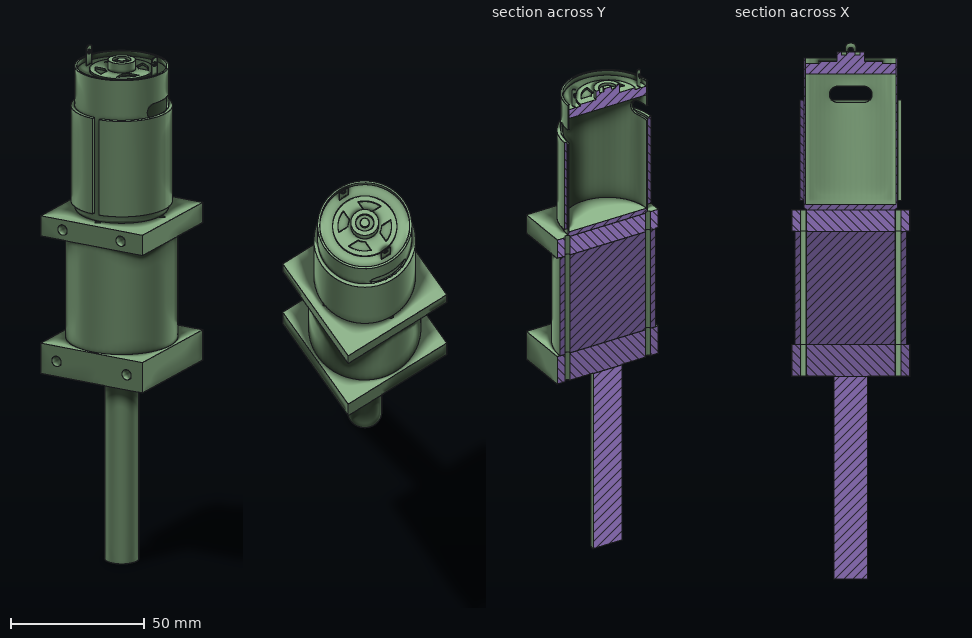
import cadquery as cq
import math


SHAFT_RADIUS = 6.5
SHAFT_LENGTH = 76.0

BLOCK_SIDE = 44.4
OUTPUT_BLOCK_HEIGHT = 12.0
MOTOR_BLOCK_HEIGHT = 8.0

SCREW_HOLE_RADIUS = 2.0
SCREW_HOLE_DEPTH = 10.0
DRILL_TIP_ANGLE = 118
OUTPUT_BLOCK_HOLE_X = 15.3
MOTOR_BLOCK_HOLE_X = 12.7

GEARBOX_RADIUS = 21.0
GEARBOX_HEIGHT = 42.4

BOLT_HOLE_RADIUS = 1.0
BOLT_CIRCLE_RADIUS = 17.7
BOLT_COUNT = 4

CAN_RADIUS = 17.7
CAN_HEIGHT = 56.8
CAN_WALL = 0.8
CAN_FLOOR = 2.0
CAN_BOTTOM_ROUND = 1.5

WINDOW_WIDTH = 15.9
WINDOW_HEIGHT = 6.0
WINDOW_TOP_BELOW_RIM = 10.6

RING_RADIUS = 19.0
RING_HEIGHT = 37.8
RING_ABOVE_CAN_BOTTOM = 3.5
RING_GAP = 2.8

CAP_BELOW_RIM = 2.0
CAP_THICKNESS = 4.0
HUB_RADIUS = 12.0
HUB_HEIGHT = 0.8
POCKET_INNER_RADIUS = 6.2
POCKET_OUTER_RADIUS = 10.0
SPOKE_WIDTH = 6.6
BOSS_RADIUS = 5.2
BOSS_ABOVE_RIM = 2.5
BORE_RADIUS = 3.5
BORE_DEPTH = 1.2
STUB_RADIUS = 1.7

TERMINAL_X = 14.3
TERMINAL_WIDTH = 4.0
TERMINAL_THICKNESS = 0.5
TERMINAL_ABOVE_RIM = 5.6
TERMINAL_CORNER = 1.6
TERMINAL_HOLE_RADIUS = 0.9
TERMINAL_HOLE_BELOW_TIP = 2.6

GEARBOX_BOTTOM = OUTPUT_BLOCK_HEIGHT
MOTOR_BLOCK_BOTTOM = GEARBOX_BOTTOM + GEARBOX_HEIGHT
CAN_BOTTOM = MOTOR_BLOCK_BOTTOM + MOTOR_BLOCK_HEIGHT
CAN_RIM = CAN_BOTTOM + CAN_HEIGHT
CAP_TOP = CAN_RIM - CAP_BELOW_RIM
CAN_INNER_RADIUS = CAN_RADIUS - CAN_WALL


def cylinder(radius, bottom, height):
    """Upright cylinder on the Z axis."""
    return cq.Workplane("XY").workplane(offset=bottom).circle(radius).extrude(height)


def screw_hole(x, z):
    """Blind hole with a conical drill tip, entering the -Y face of a block."""
    tip_length = SCREW_HOLE_RADIUS / math.tan(math.radians(DRILL_TIP_ANGLE / 2))
    half_section = (
        cq.Workplane("XY")
        .polyline([
            (0, 0),
            (SCREW_HOLE_RADIUS, 0),
            (SCREW_HOLE_RADIUS, SCREW_HOLE_DEPTH),
            (0, SCREW_HOLE_DEPTH + tip_length),
        ])
        .close()
    )
    return half_section.revolve(360, (0, 0, 0), (0, 1, 0)).translate((x, -BLOCK_SIDE / 2, z))


def make_block(bottom, height, hole_x):
    """Square block with two screw holes at mid height."""
    block = cq.Workplane("XY").workplane(offset=bottom).rect(BLOCK_SIDE, BLOCK_SIDE).extrude(height)
    for side in (-1, 1):
        block = block.cut(screw_hole(side * hole_x, bottom + height / 2))
    return block


def with_bolt_holes(body):
    """Body with the long bolt holes running from the output face to the motor face."""
    holes = (
        cq.Workplane("XY")
        .polarArray(BOLT_CIRCLE_RADIUS, 0, 360, BOLT_COUNT)
        .circle(BOLT_HOLE_RADIUS)
        .extrude(CAN_BOTTOM)
    )
    return body.cut(holes)


def make_can():
    """Thin cup, open at the top, with a rounded bottom edge and two side windows."""
    can = cylinder(CAN_RADIUS, CAN_BOTTOM, CAN_HEIGHT).faces("<Z").edges().fillet(CAN_BOTTOM_ROUND)
    can = can.cut(cylinder(CAN_INNER_RADIUS, CAN_BOTTOM + CAN_FLOOR, CAN_HEIGHT))
    window_middle = CAN_RIM - WINDOW_TOP_BELOW_RIM - WINDOW_HEIGHT / 2
    windows = (
        cq.Workplane("YZ")
        .center(0, window_middle)
        .slot2D(WINDOW_WIDTH, WINDOW_HEIGHT)
        .extrude(CAN_RADIUS, both=True)
    )
    return can.cut(windows)


def make_flux_ring():
    """Ring hugging the can, split by a narrow gap on the -Y side."""
    bottom = CAN_BOTTOM + RING_ABOVE_CAN_BOTTOM
    ring = cylinder(RING_RADIUS, bottom, RING_HEIGHT).cut(cylinder(CAN_RADIUS, bottom, RING_HEIGHT))
    gap = (
        cq.Workplane("XY")
        .workplane(offset=bottom)
        .center(0, -RING_RADIUS / 2)
        .rect(RING_GAP, RING_RADIUS)
        .extrude(RING_HEIGHT)
    )
    return ring.cut(gap)


def hub_pockets():
    """Four shallow pockets in the hub, kept apart by a cross of spokes."""
    pockets = cylinder(POCKET_OUTER_RADIUS, CAP_TOP, HUB_HEIGHT)
    pockets = pockets.cut(cylinder(POCKET_INNER_RADIUS, CAP_TOP, HUB_HEIGHT))
    spoke_length = 2 * POCKET_OUTER_RADIUS
    for length_x, length_y in ((spoke_length, SPOKE_WIDTH), (SPOKE_WIDTH, spoke_length)):
        spoke = cq.Workplane("XY").workplane(offset=CAP_TOP).rect(length_x, length_y).extrude(HUB_HEIGHT)
        pockets = pockets.cut(spoke)
    return pockets


def make_terminal(x):
    """Flat upright tab with rounded upper corners and a small hole."""
    height = CAP_BELOW_RIM + TERMINAL_ABOVE_RIM
    tab = (
        cq.Workplane("XY")
        .box(TERMINAL_THICKNESS, TERMINAL_WIDTH, height, centered=(True, True, False))
        .edges("|X and >Z")
        .fillet(TERMINAL_CORNER)
    )
    hole = (
        cq.Workplane("YZ")
        .center(0, height - TERMINAL_HOLE_BELOW_TIP)
        .circle(TERMINAL_HOLE_RADIUS)
        .extrude(TERMINAL_THICKNESS, both=True)
    )
    return tab.cut(hole).translate((x, 0, CAP_TOP))


def make_end_cap():
    """Disc closing the can, with hub, bearing boss, shaft stub and both terminals."""
    boss_top = CAN_RIM + BOSS_ABOVE_RIM
    cap = cylinder(CAN_INNER_RADIUS, CAP_TOP - CAP_THICKNESS, CAP_THICKNESS)
    cap = cap.union(cylinder(HUB_RADIUS, CAP_TOP, HUB_HEIGHT)).cut(hub_pockets())
    cap = cap.union(cylinder(BOSS_RADIUS, CAP_TOP, boss_top - CAP_TOP))
    bore_bottom = boss_top - BORE_DEPTH
    bore = cylinder(BORE_RADIUS, bore_bottom, BORE_DEPTH).cut(cylinder(STUB_RADIUS, bore_bottom, BORE_DEPTH))
    cap = cap.cut(bore)
    for side in (-1, 1):
        cap = cap.union(make_terminal(side * TERMINAL_X))
    return cap


output_shaft = cylinder(SHAFT_RADIUS, -SHAFT_LENGTH, SHAFT_LENGTH)
output_block = with_bolt_holes(make_block(0, OUTPUT_BLOCK_HEIGHT, OUTPUT_BLOCK_HOLE_X))
gearbox = with_bolt_holes(cylinder(GEARBOX_RADIUS, GEARBOX_BOTTOM, GEARBOX_HEIGHT))
motor_block = with_bolt_holes(make_block(MOTOR_BLOCK_BOTTOM, MOTOR_BLOCK_HEIGHT, MOTOR_BLOCK_HOLE_X))
motor_can = make_can()
flux_ring = make_flux_ring()
end_cap = make_end_cap()

result = cq.Compound.makeCompound([
    output_shaft.val(),
    output_block.val(),
    gearbox.val(),
    motor_block.val(),
    motor_can.val(),
    flux_ring.val(),
    end_cap.val(),
])